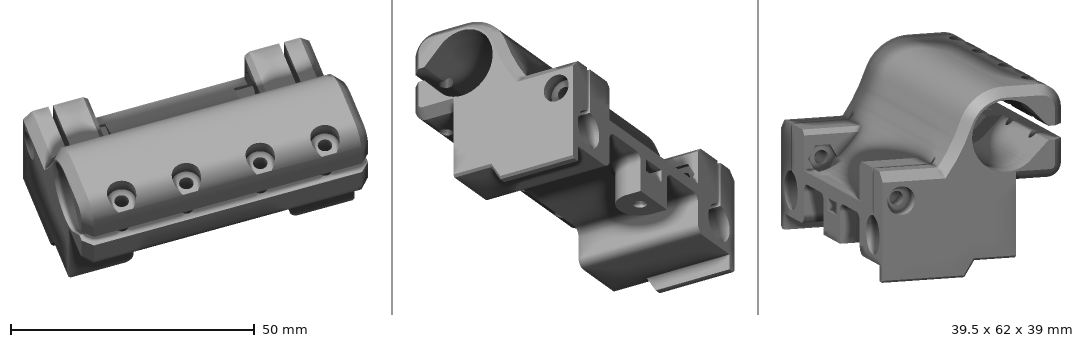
import cadquery as cq
import math

LENGTH = 62.0
HALF = LENGTH / 2
DEPTH = 39.5
HEIGHT = 39.0
BLOCK_DEPTH = 29.0
BLOCK_TOP = 23.0
END_CHAMFER = 2.0

CLAMP_RADIUS = 10.0
CLAMP_X = 27.0
CLAMP_Z = HEIGHT - CLAMP_RADIUS
CLAMP_BOTTOM = 19.45
CLAMP_TOP_FILLET = 5.0
CLAMP_BOTTOM_FILLET = 3.0
BORE_DIAMETER = 10.0
BEARING_RADIUS = 7.5
BEARING_DEPTH = 28.0
CLAMP_SLOT = 3.0
CLAMP_SCREW_X = 36.5
CLAMP_SCREW_Y = (8.0, 22.0)
CLAMP_SCREW_SEAT = 36.0

BACK_RADIUS = 40.0
BACK_TANGENT_ANGLE = 160.0
FLOOR_TANGENT_ANGLE = -44.2
FLOOR_Z = 14.6

LEG_INNER_Y = 16.9
LEG_TOP_CHAMFER = 1.05
LEG_BOTTOM = 3.4
LEG_FILLET = 2.0
CHANNEL_TOP = 11.95
CHANNEL_FILLET = 1.75
TAB_THICKNESS = 2.0
TAB_DEPTH = 17.9
TAB_SLOPE_END = 20.1
TAB_CHAMFER = 0.5
POST_RADIUS = 5.0
POST_CENTER_X = 3.4

ROD_RADIUS = 4.1
ROD_DEPTH = 20.0
ROD_Y = 25.0
ROD_Z = 9.0
SLIT_WIDTH = 1.05
SLIT_LIP_RADIUS = 1.0
ROD_SCREW_X = 4.0
ROD_SCREW_Z = 17.0
ROD_SCREW_SEAT = 3.0

SCREW_DIAMETER = 3.0
HEAD_DIAMETER = 6.0
NUT_FLATS = 5.5
NUT_RECESS = 1.0
NUT_FLOOR_NOTCH = 3.0
NUT_SLOT_WIDTH = 5.8
NUT_SLOT_BOTTOM = 8.9
NUT_SLOT_TOP = 11.6

TOLERANCE = 0.005
CLEARANCE = 0.6


def polar(center, radius, angle):
    """Point at an angle in degrees on a circle in the XZ plane."""
    turn = math.radians(angle)
    return (center[0] + radius * math.cos(turn), center[1] + radius * math.sin(turn))


def along_y(outline, y_from, y_to):
    """Solid with the given XZ outline between two Y positions, y_from < y_to."""
    return outline(cq.Workplane("XZ", origin=(0, y_from, 0))).extrude(y_from - y_to)


def box(x0, x1, y0, y1, z0, z1):
    """Block between two opposite corners."""
    return cq.Workplane("XY").box(x1 - x0, y1 - y0, z1 - z0, centered=False).translate((x0, y0, z0))


CLAMP_CENTER = (CLAMP_X, CLAMP_Z)
BACK_CENTER = polar(CLAMP_CENTER, CLAMP_RADIUS + BACK_RADIUS, BACK_TANGENT_ANGLE)
BACK_TOP_ANGLE = BACK_TANGENT_ANGLE - 180
BLOCK_TOP_ANGLE = math.degrees(math.asin((BLOCK_TOP - BACK_CENTER[1]) / BACK_RADIUS))
LEDGE_CORNER = polar(BACK_CENTER, BACK_RADIUS, BLOCK_TOP_ANGLE)


def back_point(angle):
    """Point on the concave back wall."""
    return polar(BACK_CENTER, BACK_RADIUS, angle)


def upper_outline(plane):
    """Block top, back wall and clamp; the slanted underside lies inside the lower block."""
    back_middle = back_point((BLOCK_TOP_ANGLE + BACK_TOP_ANGLE) / 2)
    crown_middle = polar(CLAMP_CENTER, CLAMP_RADIUS, (BACK_TANGENT_ANGLE + 90) / 2)
    return (
        plane.moveTo(0, CHANNEL_TOP)
        .lineTo(0, BLOCK_TOP)
        .lineTo(*LEDGE_CORNER)
        .threePointArc(back_middle, back_point(BACK_TOP_ANGLE))
        .threePointArc(crown_middle, (CLAMP_X, HEIGHT))
        .lineTo(DEPTH - CLAMP_TOP_FILLET, HEIGHT)
        .radiusArc((DEPTH, HEIGHT - CLAMP_TOP_FILLET), CLAMP_TOP_FILLET)
        .lineTo(DEPTH, CLAMP_BOTTOM + CLAMP_BOTTOM_FILLET)
        .radiusArc((DEPTH - CLAMP_BOTTOM_FILLET, CLAMP_BOTTOM), CLAMP_BOTTOM_FILLET)
        .lineTo(CLAMP_X - END_CHAMFER, CLAMP_BOTTOM)
        .close()
    )


def make_upper_body():
    """Clamp and block top, chamfered around both ends except on the -X face."""
    body = along_y(upper_outline, -HALF, HALF)
    ends = body.faces("<Y or >Y").edges()
    return body.newObject([e for e in ends.vals() if e.Center().x > TOLERANCE]).chamfer(END_CHAMFER)


def lower_outline(plane):
    """Block profile up to the end chamfers, with the step behind the end tabs."""
    return plane.polyline([
        (0, 0),
        (TAB_DEPTH, 0),
        (TAB_SLOPE_END, LEG_BOTTOM),
        (BLOCK_DEPTH, LEG_BOTTOM),
        (BLOCK_DEPTH, CLAMP_BOTTOM + END_CHAMFER),
        (CLAMP_X - CLAMP_RADIUS, CLAMP_BOTTOM + END_CHAMFER),
        (CLAMP_X - CLAMP_RADIUS, BLOCK_TOP - END_CHAMFER),
        (0, BLOCK_TOP - END_CHAMFER),
    ]).close()


def make_lower_body():
    """Block below the clamp with its bottom outer edges broken."""
    body = along_y(lower_outline, -HALF, HALF)
    ends = body.faces("<Y or >Y").edges()
    low_edges = [e for e in ends.vals() if e.Center().z < LEG_BOTTOM + TOLERANCE]
    return body.newObject(low_edges).chamfer(TAB_CHAMFER)


def make_post():
    """Centre post, flat at -X and rounded at the back."""
    height = CHANNEL_TOP - LEG_BOTTOM
    front = box(0, POST_CENTER_X, -POST_RADIUS, POST_RADIUS, LEG_BOTTOM, CHANNEL_TOP)
    back = cq.Workplane("XY", origin=(POST_CENTER_X, 0, LEG_BOTTOM)).circle(POST_RADIUS).extrude(height)
    beyond_center = box(POST_CENTER_X, BLOCK_DEPTH, -HALF, HALF, 0, HEIGHT)
    return front.union(back.intersect(beyond_center))


def make_underside():
    """Space below the legs and the web, leaving the end tabs and the centre post."""
    tab_inner = HALF - TAB_THICKNESS
    below = box(-CLEARANCE, BLOCK_DEPTH + CLEARANCE, -tab_inner, tab_inner, -CLEARANCE, LEG_BOTTOM)
    channel = box(0, BLOCK_DEPTH, -LEG_INNER_Y, LEG_INNER_Y, LEG_BOTTOM, CHANNEL_TOP).cut(make_post())
    roof_edges = channel.faces(">Z").edges("not(<X or >X)")
    channel = roof_edges.fillet(CHANNEL_FILLET)
    return below.union(channel)


def pocket_outline(plane):
    """Pocket profile, floored by an arc tangent to the back wall."""
    floor_end = back_point(FLOOR_TANGENT_ANGLE)
    wall_middle = back_point((BLOCK_TOP_ANGLE + FLOOR_TANGENT_ANGLE) / 2)
    return (
        plane.moveTo(0, BLOCK_TOP)
        .lineTo(*LEDGE_CORNER)
        .threePointArc(wall_middle, floor_end)
        .tangentArcPoint((0, FLOOR_Z), relative=False)
        .close()
    )


def make_pocket():
    """Space between the two legs, flared by the chamfers on the leg tops."""
    flare = LEG_INNER_Y + LEG_TOP_CHAMFER
    pocket = along_y(pocket_outline, -flare, flare)
    mouth = cq.Workplane("YZ").polyline([
        (-LEG_INNER_Y, 0),
        (LEG_INNER_Y, 0),
        (LEG_INNER_Y, BLOCK_TOP - LEG_TOP_CHAMFER),
        (flare, BLOCK_TOP),
        (-flare, BLOCK_TOP),
        (-LEG_INNER_Y, BLOCK_TOP - LEG_TOP_CHAMFER),
    ]).close().extrude(BLOCK_DEPTH)
    return pocket.intersect(mouth)


def round_leg_corners(body):
    """Fillet the two long lower edges that face the channel."""
    at_bottom = [e for e in body.edges("|X").vals() if abs(e.Center().z - LEG_BOTTOM) < TOLERANCE]
    corners = [e for e in at_bottom if abs(abs(e.Center().y) - LEG_INNER_Y) < TOLERANCE]
    return body.newObject(corners).fillet(LEG_FILLET)


def cut_post_hardware(body):
    """Nut slot from -X and the vertical screw hole that meets it."""
    half_width = NUT_SLOT_WIDTH / 2
    slot_end = POST_CENTER_X + NUT_FLATS / 2
    slot = box(0, slot_end, -half_width, half_width, NUT_SLOT_BOTTOM, NUT_SLOT_TOP)
    screw_axis = cq.Workplane("XY", origin=(POST_CENTER_X, 0, 0))
    screw = screw_axis.circle(SCREW_DIAMETER / 2).extrude(NUT_SLOT_TOP)
    return body.cut(slot).cut(screw)


def keyhole(radius):
    """Circle that narrows at 45 degrees toward the +X slot of the clamp."""
    half_slot = CLAMP_SLOT / 2
    neck = radius * math.sqrt(2) - half_slot

    def outline(plane):
        return (
            plane.moveTo(*polar(CLAMP_CENTER, radius, 45))
            .threePointArc((CLAMP_X - radius, CLAMP_Z), polar(CLAMP_CENTER, radius, -45))
            .lineTo(CLAMP_X + neck, CLAMP_Z - half_slot)
            .lineTo(CLAMP_X + neck, CLAMP_Z + half_slot)
            .close()
        )

    return outline


def cut_clamp(body):
    """Through bore, bearing recesses, open slot and counterbored clamp screws."""
    half_slot = CLAMP_SLOT / 2
    body = body.cut(along_y(keyhole(BORE_DIAMETER / 2), -HALF, HALF))
    body = body.cut(along_y(keyhole(BEARING_RADIUS), -HALF, BEARING_DEPTH - HALF))
    body = body.cut(along_y(keyhole(BEARING_RADIUS), HALF - BEARING_DEPTH, HALF))
    body = body.cut(box(CLAMP_X, DEPTH, -HALF, HALF, CLAMP_Z - half_slot, CLAMP_Z + half_slot))
    for side in (-1, 1):
        for y in CLAMP_SCREW_Y:
            seat = cq.Workplane("XY", origin=(CLAMP_SCREW_X, side * y, CLAMP_SCREW_SEAT))
            body = body.cut(seat.circle(HEAD_DIAMETER / 2).extrude(HEIGHT - CLAMP_SCREW_SEAT))
            body = body.cut(seat.circle(SCREW_DIAMETER / 2).extrude(-HEIGHT))
    return body


def slit_lip_outline(plane):
    """Sliver between the ledge corner and the round lip where the slit runs under the back wall."""
    lip_z = BLOCK_TOP + SLIT_LIP_RADIUS
    reach = BACK_RADIUS + SLIT_LIP_RADIUS
    lip_angle = math.degrees(math.asin((lip_z - BACK_CENTER[1]) / reach))
    lip_center = polar(BACK_CENTER, reach, lip_angle)
    lip_middle = polar(lip_center, SLIT_LIP_RADIUS, (lip_angle + 180 + 270) / 2)
    return (
        plane.moveTo(*LEDGE_CORNER)
        .lineTo(*back_point(lip_angle))
        .threePointArc(lip_middle, (lip_center[0], BLOCK_TOP))
        .close()
    )


def make_rod_clamp():
    """Rod hole, slit, cross screw and nut recess to remove from the -Y leg."""
    rod = cq.Workplane("YZ").center(-ROD_Y, ROD_Z).circle(ROD_RADIUS).extrude(ROD_DEPTH)
    slit_near = -ROD_Y - SLIT_WIDTH / 2
    slit_far = -ROD_Y + SLIT_WIDTH / 2
    slit = box(0, ROD_DEPTH, slit_near, slit_far, ROD_Z, BLOCK_TOP)
    slit = slit.union(along_y(slit_lip_outline, slit_near, slit_far))
    screw_axis = cq.Workplane("XZ", origin=(ROD_SCREW_X, -HALF, ROD_SCREW_Z))
    screw = screw_axis.circle(SCREW_DIAMETER / 2).extrude(-(HALF - LEG_INNER_Y))
    head = screw_axis.circle(HEAD_DIAMETER / 2).extrude(-ROD_SCREW_SEAT)
    nut_corners = NUT_FLATS / math.cos(math.radians(30))
    nut = (
        cq.Workplane("XZ", origin=(ROD_SCREW_X, -LEG_INNER_Y - NUT_RECESS, ROD_SCREW_Z))
        .polygon(6, nut_corners)
        .extrude(-(NUT_RECESS + NUT_FLOOR_NOTCH))
    )
    return rod.union(slit).union(screw).union(head).union(nut)


body = make_upper_body().union(make_lower_body())
body = round_leg_corners(body.cut(make_underside()))
body = body.cut(make_pocket())
body = cut_clamp(cut_post_hardware(body))
rod_clamp = make_rod_clamp()
result = body.cut(rod_clamp).cut(rod_clamp.mirror("XZ"))